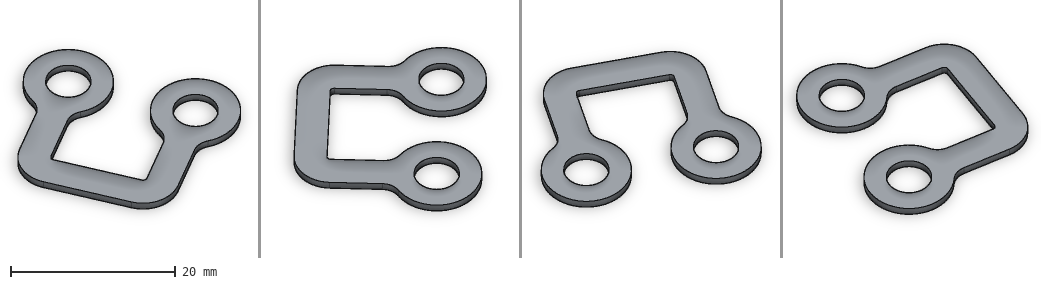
import cadquery as cq

overall_width = 27.3
overall_depth = 22.98
thickness = 1.0
eye_diameter = 11.0
hole_diameter = 5.5
bar_width = 4.0
outer_corner_radius = 4.5
neck_fillet_radius = 2.4

eye_spacing = overall_width - eye_diameter
eye_y = (overall_depth - eye_diameter) / 2
bottom_y = -overall_depth / 2
outer_width = eye_spacing + bar_width
inner_width = eye_spacing - bar_width
inner_corner_radius = outer_corner_radius - bar_width
eye_centres = [(-eye_spacing / 2, eye_y), (eye_spacing / 2, eye_y)]


def upright_block(width, base_y, corner_radius):
    """Plate from base_y up to the eye centres, with rounded lower corners."""
    height = eye_y - base_y
    return (
        cq.Workplane("XY")
        .center(0, base_y + height / 2)
        .rect(width, height)
        .extrude(thickness)
        .edges("|Z and <Y")
        .fillet(corner_radius)
    )


def u_frame():
    """Two arms joined by a crossbar of the same width."""
    outer = upright_block(outer_width, bottom_y, outer_corner_radius)
    opening = upright_block(inner_width, bottom_y + bar_width, inner_corner_radius)
    return outer.cut(opening)


def eye_discs():
    return cq.Workplane("XY").pushPoints(eye_centres).circle(eye_diameter / 2).extrude(thickness)


def neck_edges(body):
    """Vertical edges where the arms run into the eyes."""
    neck_drop = ((eye_diameter / 2) ** 2 - (bar_width / 2) ** 2) ** 0.5
    neck_y = eye_y - neck_drop
    margin = 0.27
    selection = cq.selectors.BoxSelector(
        (-overall_width, neck_y - margin, -margin),
        (overall_width, neck_y + margin, thickness + margin),
    )
    return body.edges("|Z").edges(selection)


body = u_frame().union(eye_discs())
body = neck_edges(body).fillet(neck_fillet_radius)
holes = cq.Workplane("XY").pushPoints(eye_centres).circle(hole_diameter / 2).extrude(thickness)
result = body.cut(holes)